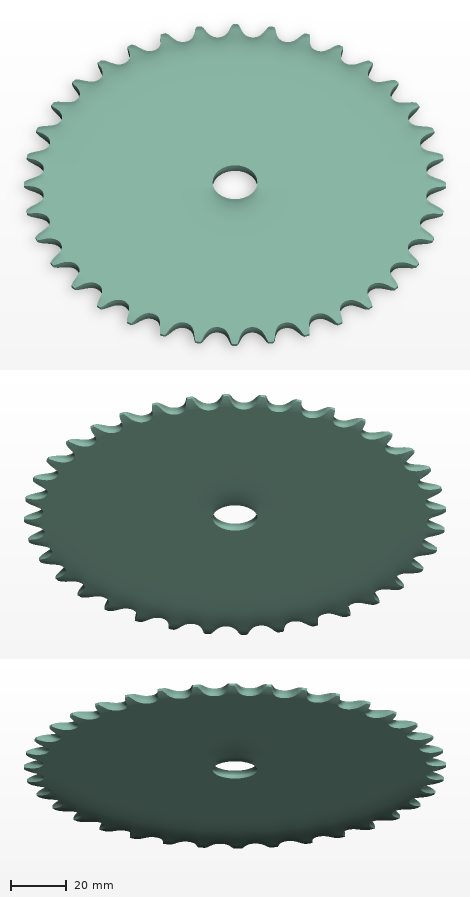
import cadquery as cq
import math

TEETH = 36
THICKNESS = 3.0
BORE_DIAMETER = 16.0
TIP_DIAMETER = 151.7
RIM_START_RADIUS = 70.8
RIM_CURVE_RADIUS = 12.7

CHAIN_PITCH = 12.7
SEAT_RADIUS = 4.0
SEAT_HALF_ANGLE = 53.3
WORKING_RADIUS = 10.1
WORKING_ANGLE = 16.4
FLANK_LENGTH = 1.0
TOPPING_RADIUS = 6.4
TOPPING_ANGLE = 35.0

TOOTH_ANGLE = 360 / TEETH
TIP_RADIUS = TIP_DIAMETER / 2
PITCH_RADIUS = CHAIN_PITCH / (2 * math.sin(math.pi / TEETH))
HALF_THICKNESS = THICKNESS / 2


def rim_half_height(radius):
    """Half thickness of the thinned rim at a given radius."""
    run = radius - RIM_START_RADIUS
    return HALF_THICKNESS - RIM_CURVE_RADIUS + math.sqrt(RIM_CURVE_RADIUS**2 - run**2)


def make_blank():
    """Bored disc whose rim thins towards the tip along two tangent arcs."""
    bore_radius = BORE_DIAMETER / 2
    middle_radius = (RIM_START_RADIUS + TIP_RADIUS) / 2
    middle_height = rim_half_height(middle_radius)
    tip_height = rim_half_height(TIP_RADIUS)
    return (
        cq.Workplane("XZ")
        .moveTo(bore_radius, -HALF_THICKNESS)
        .lineTo(RIM_START_RADIUS, -HALF_THICKNESS)
        .threePointArc((middle_radius, -middle_height), (TIP_RADIUS, -tip_height))
        .lineTo(TIP_RADIUS, tip_height)
        .threePointArc((middle_radius, middle_height), (RIM_START_RADIUS, HALF_THICKNESS))
        .lineTo(bore_radius, HALF_THICKNESS)
        .close()
        .revolve(360, (0, 0, 0), (0, 1, 0))
    )


def arc_point(start, heading, radius, turn):
    """Point reached by an arc from start; headings are degrees above +X, left turns positive."""
    side = math.copysign(radius, turn)
    before = math.radians(heading)
    after = math.radians(heading + turn)
    x = start[0] + side * (math.sin(after) - math.sin(before))
    y = start[1] + side * (math.cos(before) - math.cos(after))
    return x, y


def mirrored(point):
    """Same point on the other side of the gap."""
    return -point[0], point[1]


def make_gap_cutter():
    """Gap centred on +Y, traced from the seat bottom out past the tooth tip on both sides."""
    flank_heading = SEAT_HALF_ANGLE + WORKING_ANGLE
    flank_slope = math.radians(flank_heading)

    seat_bottom = (0, PITCH_RADIUS - SEAT_RADIUS)
    seat_end = arc_point(seat_bottom, 0, SEAT_RADIUS, SEAT_HALF_ANGLE)
    working_middle = arc_point(seat_end, SEAT_HALF_ANGLE, WORKING_RADIUS, WORKING_ANGLE / 2)
    working_end = arc_point(seat_end, SEAT_HALF_ANGLE, WORKING_RADIUS, WORKING_ANGLE)
    flank_end = (
        working_end[0] + FLANK_LENGTH * math.cos(flank_slope),
        working_end[1] + FLANK_LENGTH * math.sin(flank_slope),
    )
    topping_middle = arc_point(flank_end, flank_heading, TOPPING_RADIUS, -TOPPING_ANGLE / 2)
    topping_end = arc_point(flank_end, flank_heading, TOPPING_RADIUS, -TOPPING_ANGLE)

    return (
        cq.Workplane("XY")
        .moveTo(*mirrored(seat_end))
        .threePointArc(seat_bottom, seat_end)
        .threePointArc(working_middle, working_end)
        .lineTo(*flank_end)
        .threePointArc(topping_middle, topping_end)
        .lineTo(*mirrored(topping_end))
        .threePointArc(mirrored(topping_middle), mirrored(flank_end))
        .lineTo(*mirrored(working_end))
        .threePointArc(mirrored(working_middle), mirrored(seat_end))
        .close()
        .extrude(HALF_THICKNESS, both=True)
    )


gap_cutter = make_gap_cutter()
result = make_blank()
for index in range(TEETH):
    result = result.cut(gap_cutter.rotate((0, 0, 0), (0, 0, 1), index * TOOTH_ANGLE))